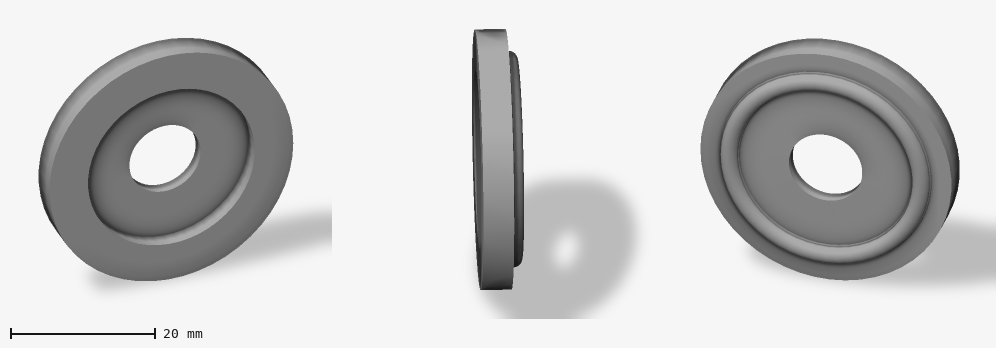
import cadquery as cq
import math

outer_radius = 18.0
disc_thickness = 4.25
bore_radius = 5.25

bead_radius = 1.2
bead_height = 1.55
bead_center_radius = 13.75
bead_root_fillet = 0.2

web_cone_angle = 1.2
bore_length = 1.95
back_recess_radius = 12.3

disc_face_x = bead_height
back_x = disc_face_x + disc_thickness
bead_inner_radius = bead_center_radius - bead_radius
bead_outer_radius = bead_center_radius + bead_radius
inner_root_radius = bead_inner_radius - bead_root_fillet
outer_root_radius = bead_outer_radius + bead_root_fillet
root_x = disc_face_x - bead_root_fillet

web_rise = (inner_root_radius - bore_radius) * math.tan(math.radians(web_cone_angle))
web_face_x = disc_face_x - web_rise
recess_floor_x = web_face_x + bore_length

half_section = (
    cq.Workplane("XY")
    .moveTo(web_face_x, bore_radius)
    .lineTo(disc_face_x, inner_root_radius)
    .radiusArc((root_x, bead_inner_radius), bead_root_fillet)
    .lineTo(bead_radius, bead_inner_radius)
    .threePointArc((0, bead_center_radius), (bead_radius, bead_outer_radius))
    .lineTo(root_x, bead_outer_radius)
    .radiusArc((disc_face_x, outer_root_radius), bead_root_fillet)
    .lineTo(disc_face_x, outer_radius)
    .lineTo(back_x, outer_radius)
    .lineTo(back_x, back_recess_radius)
    .lineTo(recess_floor_x, back_recess_radius)
    .lineTo(recess_floor_x, bore_radius)
    .close()
)

result = half_section.revolve(360, (0, 0, 0), (1, 0, 0))